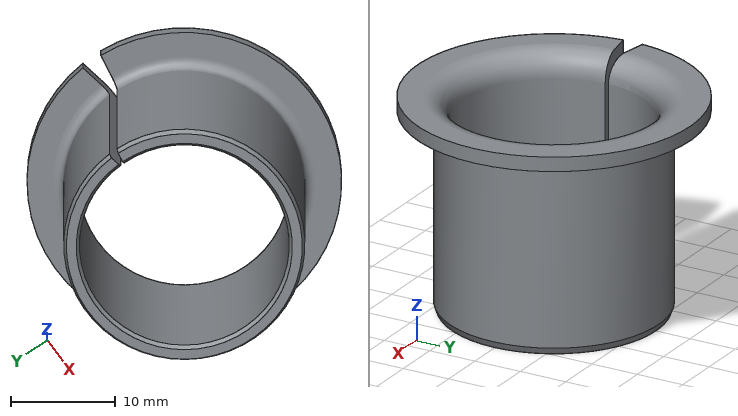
import cadquery as cq
import math

bore_radius = 10.0
wall = 1.5
flange_radius = 15.0
height = 22.0
mouth_radius = 2.5
lead_in_height = 0.7
lead_in_angle = 20.0
foot_bevel_height = 0.5
foot_bevel_width = 0.3
slit_half_angle = 10.0
slit_apex_radius = 9.0

sleeve_radius = bore_radius + wall
bend_radius = mouth_radius - wall
bend_center_r = bore_radius + mouth_radius
bend_center_z = height - mouth_radius
flange_underside = height - wall
lead_in_width = lead_in_height * math.tan(math.radians(lead_in_angle))


def point_on_bend(radius):
    """Middle point of the quarter bend with the given radius, as (r, z)."""
    offset = radius * math.sqrt(0.5)
    return bend_center_r - offset, bend_center_z + offset


def make_flanged_sleeve():
    """Revolve the constant-thickness wall section around Z, with its seam on -X inside the slit."""
    section = (
        cq.Workplane("XZ")
        .moveTo(bore_radius + foot_bevel_width, 0)
        .lineTo(sleeve_radius - lead_in_width, 0)
        .lineTo(sleeve_radius, lead_in_height)
        .lineTo(sleeve_radius, bend_center_z)
        .threePointArc(point_on_bend(bend_radius), (bend_center_r, flange_underside))
        .lineTo(flange_radius, flange_underside)
        .lineTo(flange_radius, height)
        .lineTo(bend_center_r, height)
        .threePointArc(point_on_bend(mouth_radius), (bore_radius, bend_center_z))
        .lineTo(bore_radius, foot_bevel_height)
        .close()
    )
    sleeve = section.revolve(360, (0, 0, 0), (0, 1, 0))
    return sleeve.rotate((0, 0, 0), (0, 0, 1), 180)


def make_slit():
    """Full-height wedge that opens outward along -X."""
    wedge_length = flange_radius
    half_width = wedge_length * math.tan(math.radians(slit_half_angle))
    outer_x = -slit_apex_radius - wedge_length
    return (
        cq.Workplane("XY")
        .moveTo(-slit_apex_radius, 0)
        .lineTo(outer_x, half_width)
        .lineTo(outer_x, -half_width)
        .close()
        .extrude(height)
    )


result = make_flanged_sleeve().cut(make_slit())